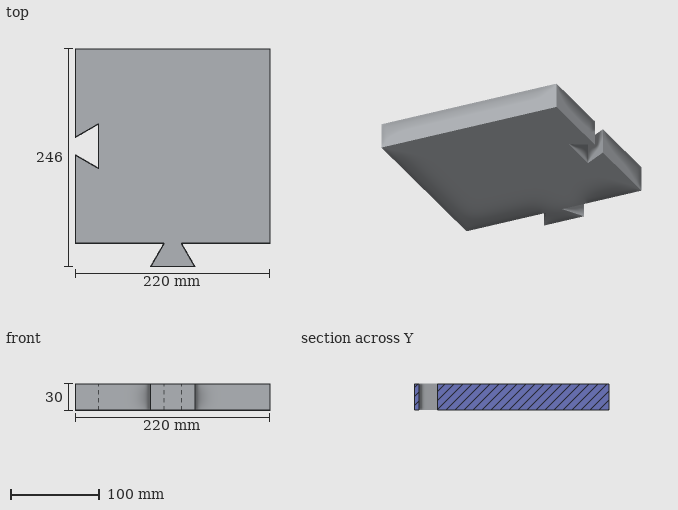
import cadquery as cq

side = 220.0
thickness = 30.0

overall_length = 246.0
dovetail_depth = overall_length - side
neck_width = 20.0
wide_width = 50.0


def dovetail():
    """Dovetail prism with its neck on the Y axis, widening toward -X."""
    return (
        cq.Workplane("XY")
        .polyline([
            (0, -neck_width / 2),
            (0, neck_width / 2),
            (-dovetail_depth, wide_width / 2),
            (-dovetail_depth, -wide_width / 2),
        ])
        .close()
        .extrude(thickness)
    )


plate = cq.Workplane("XY").box(side, side, thickness, centered=(True, True, False))

tab = dovetail().rotate((0, 0, 0), (0, 0, 1), 90).translate((0, -side / 2, 0))

notch = dovetail().rotate((0, 0, 0), (0, 0, 1), 180).translate((-side / 2, 0, 0))

result = plate.union(tab).cut(notch)